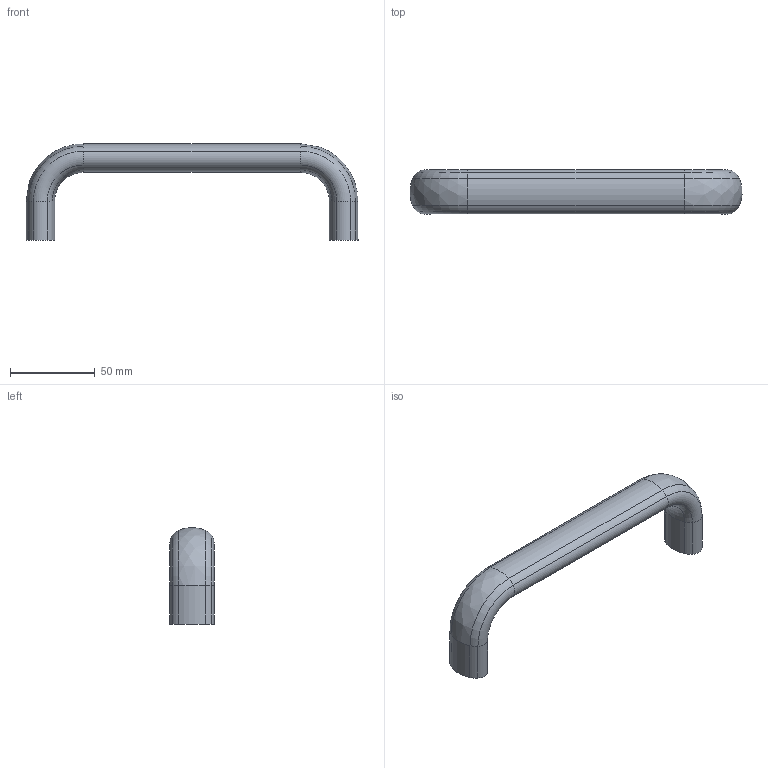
import cadquery as cq
import math

overall_length = 196.0
overall_height = 57.0

bar_width = 26.0
bar_thickness = 17.0
crown_radius = 20.0
shoulder_radius = 9.5
side_radius = 6.5

inner_bend_radius = 17.0

half_width = bar_width / 2
half_thickness = bar_thickness / 2
path_bend_radius = inner_bend_radius + half_thickness
path_top = overall_height - half_thickness
leg_x = overall_length / 2 - half_thickness
leg_height = path_top - path_bend_radius
grip_half_length = leg_x - path_bend_radius


def handle_path():
    """Centre line: up one leg, round a bend, along the grip and down the other leg."""
    bend_reach = path_bend_radius * math.sin(math.pi / 4)
    bend_mid_x = grip_half_length + bend_reach
    bend_mid_z = leg_height + bend_reach
    return (
        cq.Workplane("XZ")
        .moveTo(-leg_x, 0)
        .lineTo(-leg_x, leg_height)
        .threePointArc((-bend_mid_x, bend_mid_z), (-grip_half_length, path_top))
        .lineTo(grip_half_length, path_top)
        .threePointArc((bend_mid_x, bend_mid_z), (leg_x, leg_height))
        .lineTo(leg_x, 0)
    )


def section_arc_angles():
    """Angles, measured from the thickness axis, where crown meets shoulder and shoulder meets side."""
    side_offset = half_width - side_radius
    crown_offset = crown_radius - half_thickness
    crown_to_side = math.hypot(side_offset, crown_offset)
    crown_to_shoulder = crown_radius - shoulder_radius
    shoulder_to_side = shoulder_radius - side_radius
    base_angle = math.atan2(side_offset, crown_offset)
    crown_corner = math.acos(
        (crown_to_shoulder**2 + crown_to_side**2 - shoulder_to_side**2)
        / (2 * crown_to_shoulder * crown_to_side)
    )
    side_corner = math.acos(
        (shoulder_to_side**2 + crown_to_side**2 - crown_to_shoulder**2)
        / (2 * shoulder_to_side * crown_to_side)
    )
    return base_angle - crown_corner, base_angle + side_corner


def bar_section():
    """Oval section at the foot of the left leg, thin along X and wide along Y."""
    crown_angle, side_angle = section_arc_angles()
    crown_center_x = half_thickness - crown_radius
    crown_to_shoulder = crown_radius - shoulder_radius
    shoulder_center_x = crown_center_x + crown_to_shoulder * math.cos(crown_angle)
    shoulder_center_y = crown_to_shoulder * math.sin(crown_angle)

    def shoulder_point(angle):
        x = shoulder_center_x + shoulder_radius * math.cos(angle)
        y = shoulder_center_y + shoulder_radius * math.sin(angle)
        return x, y

    crown_x, crown_y = shoulder_point(crown_angle)
    middle_x, middle_y = shoulder_point((crown_angle + side_angle) / 2)
    side_x, side_y = shoulder_point(side_angle)

    return (
        cq.Workplane("XY", origin=(-leg_x, 0, 0))
        .moveTo(-crown_x, -crown_y)
        .threePointArc((-half_thickness, 0), (-crown_x, crown_y))
        .threePointArc((-middle_x, middle_y), (-side_x, side_y))
        .threePointArc((0, half_width), (side_x, side_y))
        .threePointArc((middle_x, middle_y), (crown_x, crown_y))
        .threePointArc((half_thickness, 0), (crown_x, -crown_y))
        .threePointArc((middle_x, -middle_y), (side_x, -side_y))
        .threePointArc((0, -half_width), (-side_x, -side_y))
        .threePointArc((-middle_x, -middle_y), (-crown_x, -crown_y))
        .close()
    )


result = bar_section().sweep(handle_path())